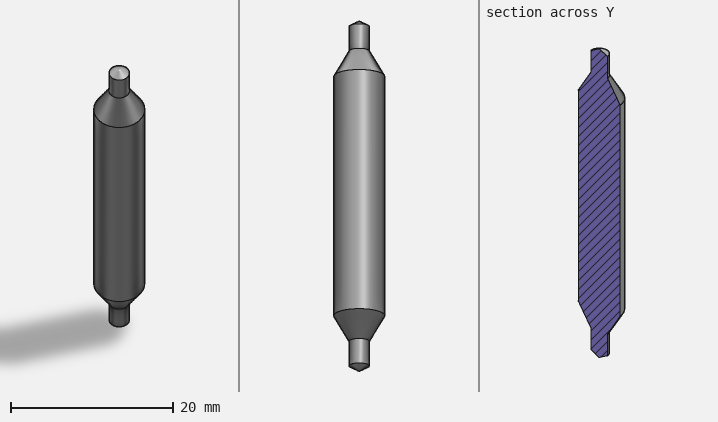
import cadquery as cq
import math

total_length = 45.0
body_radius = 3.15
pilot_radius = 1.25
pilot_length = 3.15
tip_half_angle = math.radians(60)
countersink_half_angle = math.radians(30)

tip_top = total_length / 2
pilot_top = tip_top - pilot_radius / math.tan(tip_half_angle)
pilot_bottom = pilot_top - pilot_length
body_top = pilot_bottom - (body_radius - pilot_radius) / math.tan(countersink_half_angle)

upper_profile = [
    (0, tip_top),
    (pilot_radius, pilot_top),
    (pilot_radius, pilot_bottom),
    (body_radius, body_top),
]
lower_profile = [(radius, -height) for radius, height in reversed(upper_profile)]

result = (
    cq.Workplane("XZ")
    .polyline(upper_profile + lower_profile)
    .close()
    .revolve(360, (0, 0, 0), (0, 1, 0))
)